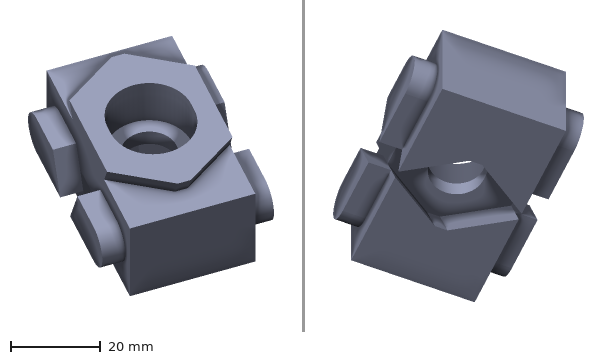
import cadquery as cq
import math

clamp_length = 52.0
clamp_height = 26.3
body_width = 29.95
jaw_height = 21.95

wedge_angle = 22.5
side_half_length = 11.75
point_half_length = 20.8
point_width = 3.1
wedge_bottom = 10.35

hole_travel = 2.1
hole_diameter = 12.9
counterbore_diameter = 19.95
counterbore_depth = 12.0

lug_height = 10.95
lug_center_z = 10.9
lug_end_x = 23.25
lug_span = 41.0


def taper_at(z):
    """Amount by which the wedge has narrowed, per side, at height z."""
    return (clamp_height - z) * math.tan(math.radians(wedge_angle))


def wedge_outline(z):
    """Outline of the wedge at height z, as a closed wire."""
    side_x = side_half_length - taper_at(z)
    point_x = point_half_length - taper_at(z)
    side_y = body_width / 2
    point_y = point_width / 2
    corners = [
        (side_x, -side_y), (point_x, -point_y), (point_x, point_y), (side_x, side_y),
        (-side_x, side_y), (-point_x, point_y), (-point_x, -point_y), (-side_x, -side_y),
    ]
    return cq.Wire.makePolygon([cq.Vector(x, y, z) for x, y in corners], close=True)


def wedge_block(bottom):
    """Tapered block from the given height up to the top of the clamp."""
    outlines = [wedge_outline(bottom), wedge_outline(clamp_height)]
    return cq.Workplane(cq.Solid.makeLoft(outlines, True))


def elongated_cutter(diameter, bottom, top):
    return (
        cq.Workplane("XY")
        .workplane(offset=bottom)
        .slot2D(hole_travel + diameter, diameter)
        .extrude(top - bottom)
    )


def make_wedge():
    hole = elongated_cutter(hole_diameter, wedge_bottom, clamp_height)
    counterbore = elongated_cutter(counterbore_diameter, clamp_height - counterbore_depth, clamp_height)
    return wedge_block(wedge_bottom).cut(hole).cut(counterbore)


def lug_clearance():
    """V-shaped channel that trims the inner ends of the lugs in line with the wedge sides."""
    top_x = side_half_length
    bottom_x = side_half_length - taper_at(0)
    return (
        cq.Workplane("XZ")
        .polyline([(-bottom_x, 0), (bottom_x, 0), (top_x, clamp_height), (-top_x, clamp_height)])
        .close()
        .extrude(lug_span / 2, both=True)
    )


def make_jaw(side):
    """One jaw, on the +X side for side = 1 and on the -X side for side = -1."""
    half_length = clamp_length / 2
    block = cq.Workplane("XY").box(
        half_length, body_width, jaw_height, centered=(True, True, False)
    ).translate((side * half_length / 2, 0, 0))
    lugs = (
        cq.Workplane("XZ")
        .center(0, lug_center_z)
        .slot2D(2 * lug_end_x, lug_height)
        .extrude(lug_span / 2, both=True)
    )
    half_space = cq.Workplane("XY").box(
        half_length, lug_span, clamp_height, centered=(True, True, False)
    ).translate((side * half_length / 2, 0, 0))
    return block.union(lugs.intersect(half_space)).cut(lug_clearance()).cut(wedge_block(0))


wedge = make_wedge()
jaws = [make_jaw(side) for side in (-1, 1)]

result = cq.Compound.makeCompound([*wedge.solids().vals(), *[jaw.solids().val() for jaw in jaws]])